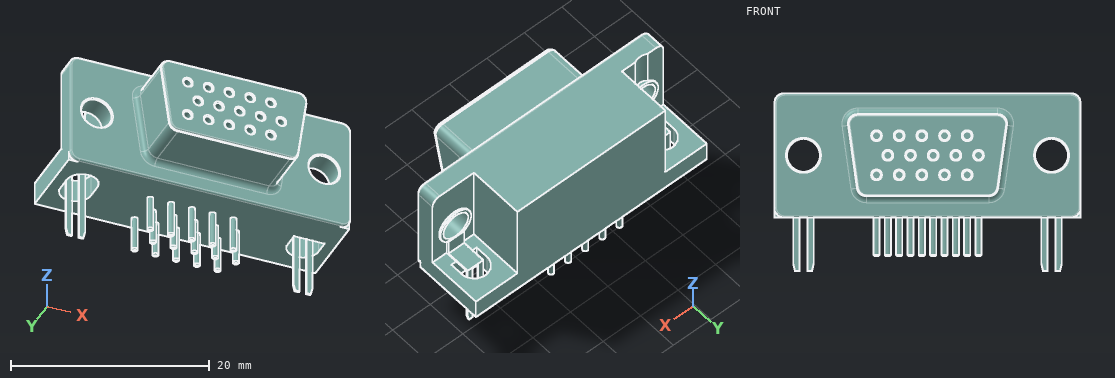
import cadquery as cq
import math


width = 30.8
height = 12.5
depth = 8.95
flange_depth = 2.3
plate_thickness = 0.4
plate_edge_fillet = 0.2
corner_radius = 1.0
block_width = 19.75
foot_height = 2.53

shell_length = 6.05
shell_width = 16.02
shell_height = 8.3
shell_bottom = 2.13
shell_slant = 8.0
shell_corner_radius = 1.0
shell_root_fillet = 0.62
insert_proud = 0.28
insert_inset = 0.1
insert_edge_fillet = 0.1

contact_pitch = 2.28
row_pitch = 1.97
contacts_per_row = 5
middle_row_z = 6.25
row_shift = contact_pitch / 4
socket_diameter = 0.85
socket_depth = 3.08
socket_chamfer = 0.12
pin_diameter = 0.65
pin_length = 3.9
pin_chamfer = 0.15
pin_embed = 0.3
rear_pin_inset = 1.6

mount_x = 12.47
mount_z = middle_row_z
mount_hole_diameter = 3.3
mount_hole_chamfer = 0.12
bracket_ring_diameter = 4.1
bracket_ring_proud = 0.22
bracket_width = 2.1
bracket_strip_proud = 0.3
bracket_foot_thickness = 0.2
prong_thickness = 0.22
prong_rear_inset = 3.42
prong_length = 5.4
prong_gap = 0.77
prong_tip_height = 0.75
prong_tip_inset = 0.2

slot_width = 3.35
slot_rear_inset = 1.95
slot_length = 4.93

prong_rear = depth - prong_rear_inset
row_z = [middle_row_z + row_pitch, middle_row_z, middle_row_z - row_pitch]
pin_row_y = [depth - rear_pin_inset - row * row_pitch for row in range(3)]


def block(x_min, x_max, y_min, y_max, z_min, z_max):
    """Axis-aligned box between the given limits."""
    box = cq.Workplane("XY").box(x_max - x_min, y_max - y_min, z_max - z_min, centered=False)
    return box.translate((x_min, y_min, z_min))


def cylinder_y(x, z, diameter, y_start, y_end):
    """Cylinder along Y from y_start to y_end."""
    plane = cq.Workplane("XZ", origin=(x, y_start, z))
    return plane.circle(diameter / 2).extrude(y_start - y_end)


def row_x(row):
    """X positions of one contact row; the middle row is staggered."""
    shift = row_shift if row == 1 else -row_shift
    middle = (contacts_per_row - 1) / 2
    return [shift + (i - middle) * contact_pitch for i in range(contacts_per_row)]


def make_housing():
    """Flange with its metal front plate, center block and the two side feet."""
    half = width / 2
    flange = block(-half, half, plate_thickness, flange_depth, 0, height)
    flange = flange.edges("|Y and >Z").fillet(corner_radius)
    plate = block(-half, half, 0, plate_thickness, 0, height)
    plate = plate.edges("|Y").fillet(corner_radius)
    plate = plate.faces("<Y").edges().fillet(plate_edge_fillet)
    center = block(-block_width / 2, block_width / 2, plate_thickness, depth, 0, height)
    feet = block(-half, half, plate_thickness, depth, 0, foot_height)
    return flange.union(feet).union(center).union(plate)


def shell_prism(length, inset):
    """Rounded D outline, shrunk by inset, running from inside the plate to Y = -length."""
    slant = math.radians(shell_slant)
    arc_center_x = shell_width / 2 - shell_corner_radius
    top_half = arc_center_x + shell_corner_radius * math.tan(math.pi / 4 + slant / 2)
    bottom_half = top_half - shell_height * math.tan(slant)
    shell_top = shell_bottom + shell_height
    outline = [
        (-top_half, shell_top),
        (top_half, shell_top),
        (bottom_half, shell_bottom),
        (-bottom_half, shell_bottom),
    ]
    root_y = plate_thickness / 2
    prism = cq.Workplane("XZ", origin=(0, root_y, 0)).polyline(outline).close()
    if inset > 0:
        prism = prism.offset2D(-inset, "intersection")
    prism = prism.extrude(root_y + length)
    return prism.edges("|Y").fillet(shell_corner_radius - inset)


def make_shell():
    """Metal shell with the round-edged contact insert standing proud of its rim."""
    rim = shell_prism(shell_length - insert_proud, 0)
    insert = shell_prism(shell_length, insert_inset)
    insert = insert.faces("<Y").edges().fillet(insert_edge_fillet)
    return rim.union(insert)


def add_root_fillet(body):
    """Round the joint between the shell and the flange plate."""
    margin = 0.03
    x_reach = shell_width / 2 + margin
    root = cq.selectors.BoxSelector(
        (-x_reach, -margin, shell_bottom - margin),
        (x_reach, margin, shell_bottom + shell_height + margin),
    )
    return body.edges(root).fillet(shell_root_fillet)


def cut_slots(body):
    """The left slot also runs up the rear of the flange; the right one stops square."""
    radius = slot_width / 2
    slot_rear = depth - slot_rear_inset
    rear_center = slot_rear - radius
    front_center = slot_rear - slot_length + radius
    slot = cq.Workplane("XY").center(-mount_x, (rear_center + front_center) / 2)
    slot = slot.slot2D(slot_length, slot_width, 90).extrude(height)
    arch = (
        cq.Workplane("XY")
        .moveTo(mount_x + radius, front_center)
        .lineTo(mount_x + radius, rear_center)
        .threePointArc((mount_x, slot_rear), (mount_x - radius, rear_center))
        .lineTo(mount_x - radius, front_center)
        .close()
        .extrude(foot_height)
    )
    return body.cut(slot).cut(arch)


def make_bracket(x):
    """Ring around the mounting hole, strip down to a foot and a forked prong."""
    half = bracket_width / 2
    ring_rear = flange_depth + bracket_ring_proud
    strip_rear = flange_depth + bracket_strip_proud
    foot_top = foot_height + bracket_foot_thickness
    ring = cylinder_y(x, mount_z, bracket_ring_diameter, plate_thickness, ring_rear)
    strip_top = mount_z - mount_hole_diameter / 2
    strip = block(x - half, x + half, plate_thickness, strip_rear, foot_height, strip_top)
    foot = block(x - half, x + half, flange_depth, prong_rear, foot_height, foot_top)
    tip = half - prong_tip_inset
    outline = [
        (x - half, foot_top),
        (x + half, foot_top),
        (x + half, prong_tip_height - prong_length),
        (x + tip, -prong_length),
        (x - tip, -prong_length),
        (x - half, prong_tip_height - prong_length),
    ]
    prong = cq.Workplane("XZ", origin=(0, prong_rear, 0)).polyline(outline).close()
    prong = prong.extrude(prong_thickness)
    gap = block(x - prong_gap / 2, x + prong_gap / 2, 0, depth, -prong_length, foot_height)
    return ring.union(strip).union(foot).union(prong.cut(gap))


def chamfer_cone(x, z, y, diameter, size):
    """Cutter for a 45 degree chamfer on a hole opening toward -Y at the given y."""
    cone = cq.Solid.makeCone(
        diameter / 2 + size, diameter / 2, size, cq.Vector(x, y, z), cq.Vector(0, 1, 0)
    )
    return cq.Workplane(obj=cone)


def mounting_hole(x):
    """Cutter for a mounting hole with a chamfered front edge."""
    through = cylinder_y(x, mount_z, mount_hole_diameter, 0, depth)
    return through.union(chamfer_cone(x, mount_z, 0, mount_hole_diameter, mount_hole_chamfer))


def cut_sockets(body):
    """Chamfered blind contact holes in the front of the insert."""
    for row, z in enumerate(row_z):
        for x in row_x(row):
            bore = cylinder_y(x, z, socket_diameter, -shell_length, socket_depth - shell_length)
            chamfer = chamfer_cone(x, z, -shell_length, socket_diameter, socket_chamfer)
            body = body.cut(bore.union(chamfer))
    return body


def make_pins():
    """Solder pins, three rows staggered like the contacts."""
    pins = cq.Workplane("XY")
    for row, y in enumerate(pin_row_y):
        points = [(x, y) for x in row_x(row)]
        row_pins = cq.Workplane("XY", origin=(0, 0, -pin_length)).pushPoints(points)
        row_pins = row_pins.circle(pin_diameter / 2).extrude(pin_length + pin_embed)
        pins = pins.add(row_pins.faces("<Z").edges().chamfer(pin_chamfer))
    return pins.combine()


result = add_root_fillet(make_housing().union(make_shell()))
result = cut_slots(result)
for side in (-1, 1):
    result = result.union(make_bracket(side * mount_x)).cut(mounting_hole(side * mount_x))
result = cut_sockets(result).union(make_pins())